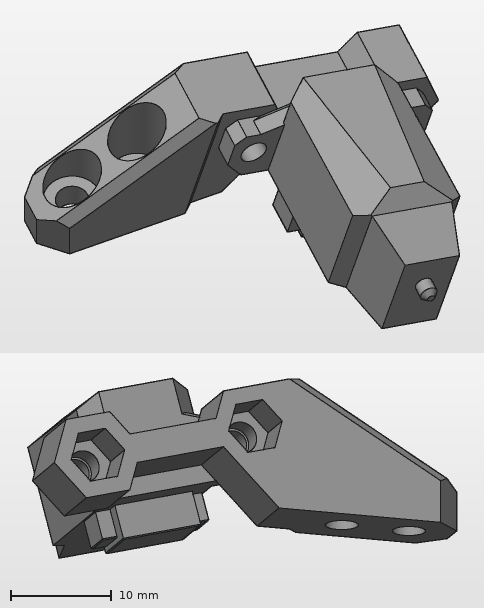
import cadquery as cq
import math

TILT = 15.0
SCREW_SPACING = 17.0
SCREW_SIDES = (-1, 1)

BRACKET_DEPTH = 7.0
BOSS_FLATS = 8.15
LINK_HEIGHT = 2.96
SCREW_CLEARANCE = 3.2
NUT_FLATS = 5.0
NUT_DEPTH = 4.5

ARM_WIDTH = 8.0
ARM_REACH = 30.03
ARM_BOTTOM = -6.03
ARM_TIP_HEIGHT = 4.0
ARM_SLOPE = 30.0
ARM_EDGE_CHAMFER = 1.0
ARM_TIP_CHAMFER = 2.5
ARM_RELIEF_START = 12.0
ARM_HOLE_SPACING = 7.0
ARM_HOLE_INSET = 4.5
ARM_HOLE_DIAMETER = 3.3
ARM_HEAD_DIAMETER = 5.8
ARM_HEAD_FLOOR = 3.0

SENSOR_BACK = BRACKET_DEPTH
FLARE_END = SENSOR_BACK + 2.0
CROWN_X = SENSOR_BACK + 16.3
SHOULDER_X = SENSOR_BACK + 17.3
NOSE_START = SENSOR_BACK + 18.3
NOSE_END = SENSOR_BACK + 24.1
PIN_END = 33.0

BACK_HALF = 4.0
BODY_HALF = 6.0
NOSE_START_HALF = 4.45
NOSE_END_HALF = 3.05
BODY_BOTTOM = -3.33
BACK_TOP = 7.66
CROWN_TOP = 8.98
NOSE_START_TOP = 7.55
NOSE_END_TOP = 6.34
ROOF_BACK_EAVE = 6.63
ROOF_NOSE_EAVE = 6.98
ROOF_PITCH = 27.2

FLANGE_THICKNESS = 2.3
FLANGE_HALF = 11.05
FLANGE_TOP = 2.67
FLANGE_TOP_CHAMFER = 1.05
FLANGE_BOTTOM_CHAMFER = 2.0
FLANGE_HOLE = 2.75

GUSSET_HALF = 8.42
GUSSET_PITCH = 20.5
GUSSET_LEAD_X = 0.46
GUSSET_LEAD_DROP = 0.4

CONNECTOR_X = 10.0
CONNECTOR_LENGTH = 5.65
CONNECTOR_HALF = 4.18
CONNECTOR_BOTTOM = -6.88
LATCH_X = 11.55
LATCH_LENGTH = 3.65
LATCH_HALF = 5.74
LATCH_BOTTOM = -6.25
CONNECTOR_CHAMFER = 0.12

PIN_DIAMETER = 1.8
PIN_HEIGHT = 2.7
PIN_TIP_LENGTH = 0.6
PIN_TIP_INSET = 0.5


def tilted(body):
    """Turn a body from the level frame into the tilted mounting frame."""
    return body.rotate((0, 0, 0), (1, 0, 0), -TILT)


def tilted_point(y, z):
    """Y and Z of a tilted-frame point after tilting."""
    angle = math.radians(TILT)
    return (
        y * math.cos(angle) + z * math.sin(angle),
        z * math.cos(angle) - y * math.sin(angle),
    )


def prism(outline, start, length):
    """A YZ outline extruded along +X."""
    return cq.Workplane("YZ", origin=(start, 0, 0)).polyline(outline).close().extrude(length)


def hex_corner_radius(flats):
    """Distance from the centre to a corner of a regular hexagon."""
    return flats / math.sqrt(3)


def hex_prism(y, flats, start, length):
    """Hexagonal prism along X with two flats level and its corners on the Y axis."""
    return (
        cq.Workplane("YZ", origin=(start, y, 0))
        .polygon(6, 2 * hex_corner_radius(flats))
        .extrude(length)
    )


def screw_holes(diameter, start, length):
    """Cylinders along X at both mounting screws."""
    half = SCREW_SPACING / 2
    return (
        cq.Workplane("YZ", origin=(start, 0, 0))
        .pushPoints([(side * half, 0) for side in SCREW_SIDES])
        .circle(diameter / 2)
        .extrude(length)
    )


def make_arm():
    """Sloping arm that grows out of the -Y boss and carries two counterbored holes."""
    boss_corner = hex_corner_radius(BOSS_FLATS)
    boss_y = -SCREW_SPACING / 2
    boss_inner = tilted_point(boss_y + boss_corner, 0)
    boss_top = tilted_point(boss_y + boss_corner / 2, BOSS_FLATS / 2)
    tip_top = (-ARM_REACH, ARM_BOTTOM + ARM_TIP_HEIGHT)

    heel = (boss_inner[0] - (boss_inner[1] - ARM_BOTTOM), ARM_BOTTOM)

    flat_slope = -math.tan(math.radians(TILT))
    face_slope = math.tan(math.radians(ARM_SLOPE))
    rise = tip_top[1] - boss_top[1] - flat_slope * (tip_top[0] - boss_top[0])
    apex_y = tip_top[0] + rise / (flat_slope - face_slope)
    apex = (apex_y, tip_top[1] + face_slope * (apex_y - tip_top[0]))

    outline = [boss_inner, boss_top, apex, tip_top, (-ARM_REACH, ARM_BOTTOM), heel]
    arm = prism(outline, 0, ARM_WIDTH)

    middle_x = ARM_WIDTH / 2
    face_middle = ((apex[0] + tip_top[0]) / 2, (apex[1] + tip_top[1]) / 2)
    for x in (0, ARM_WIDTH):
        edge = arm.edges(cq.selectors.NearestToPointSelector((x, *face_middle)))
        arm = edge.chamfer(ARM_EDGE_CHAMFER)

    tip_plan = [
        (0, 0),
        (ARM_WIDTH, 0),
        (ARM_WIDTH, -ARM_REACH + ARM_TIP_CHAMFER),
        (ARM_WIDTH - ARM_TIP_CHAMFER, -ARM_REACH),
        (ARM_TIP_CHAMFER, -ARM_REACH),
        (0, -ARM_REACH + ARM_TIP_CHAMFER),
    ]
    arm = arm.intersect(cq.Workplane("XY").polyline(tip_plan).close().extrude(ARM_REACH, both=True))

    relief_depth = ARM_WIDTH - BRACKET_DEPTH
    relief_plan = [
        (BRACKET_DEPTH, 0),
        (BRACKET_DEPTH, -ARM_RELIEF_START),
        (BRACKET_DEPTH + 2 * relief_depth, -ARM_RELIEF_START - 2 * relief_depth),
        (BRACKET_DEPTH + 2 * relief_depth, 0),
    ]
    arm = arm.cut(tilted(cq.Workplane("XY").polyline(relief_plan).close().extrude(ARM_REACH, both=True)))

    first_hole = -ARM_REACH + ARM_HOLE_INSET
    hole_points = [(middle_x, first_hole), (middle_x, first_hole + ARM_HOLE_SPACING)]
    base = cq.Workplane("XY", origin=(0, 0, ARM_BOTTOM)).pushPoints(hole_points)
    arm = arm.cut(base.circle(ARM_HOLE_DIAMETER / 2).extrude(ARM_REACH))
    floor = cq.Workplane("XY", origin=(0, 0, ARM_BOTTOM + ARM_HEAD_FLOOR)).pushPoints(hole_points)
    return arm.cut(floor.circle(ARM_HEAD_DIAMETER / 2).extrude(ARM_REACH))


def make_bracket():
    """Linked bosses and arm, with a nut pocket and screw hole through each boss."""
    link = cq.Workplane("XY").box(
        BRACKET_DEPTH, SCREW_SPACING, LINK_HEIGHT, centered=(False, True, True)
    )
    for side in SCREW_SIDES:
        link = link.union(hex_prism(side * SCREW_SPACING / 2, BOSS_FLATS, 0, BRACKET_DEPTH))

    bracket = tilted(link).union(make_arm())
    for side in SCREW_SIDES:
        bracket = bracket.cut(tilted(hex_prism(side * SCREW_SPACING / 2, NUT_FLATS, 0, NUT_DEPTH)))
    return bracket.cut(tilted(screw_holes(SCREW_CLEARANCE, 0, BRACKET_DEPTH)))


def make_shell():
    """Faceted sensor body: plan, side and roof envelopes intersected."""
    half_plan = [
        (SENSOR_BACK, BACK_HALF),
        (FLARE_END, BODY_HALF),
        (SHOULDER_X, BODY_HALF),
        (NOSE_START, NOSE_START_HALF),
        (NOSE_END, NOSE_END_HALF),
    ]
    plan = half_plan + [(x, -y) for x, y in reversed(half_plan)]
    side = [
        (SENSOR_BACK, BODY_BOTTOM),
        (SENSOR_BACK, BACK_TOP),
        (CROWN_X, CROWN_TOP),
        (NOSE_START, NOSE_START_TOP),
        (NOSE_END, NOSE_END_TOP),
        (NOSE_END, BODY_BOTTOM),
    ]
    shell = cq.Workplane("XY").polyline(plan).close().extrude(2 * CROWN_TOP, both=True)
    shell = shell.intersect(cq.Workplane("XZ").polyline(side).close().extrude(2 * BODY_HALF, both=True))

    ridge = BODY_HALF * math.tan(math.radians(ROOF_PITCH))

    def roof_section(eave):
        return [
            (-BODY_HALF, BODY_BOTTOM),
            (-BODY_HALF, eave),
            (0, eave + ridge),
            (BODY_HALF, eave),
            (BODY_HALF, BODY_BOTTOM),
        ]

    roof = (
        cq.Workplane("YZ", origin=(SENSOR_BACK, 0, 0))
        .polyline(roof_section(ROOF_BACK_EAVE))
        .close()
        .workplane(offset=NOSE_END - SENSOR_BACK)
        .polyline(roof_section(ROOF_NOSE_EAVE))
        .close()
        .loft(ruled=True)
    )
    return shell.intersect(roof)


def make_flange():
    """Mounting flange with chamfered ends."""
    half_outline = [
        (FLANGE_HALF - FLANGE_BOTTOM_CHAMFER, BODY_BOTTOM),
        (FLANGE_HALF, BODY_BOTTOM + FLANGE_BOTTOM_CHAMFER),
        (FLANGE_HALF, FLANGE_TOP - FLANGE_TOP_CHAMFER),
        (FLANGE_HALF - FLANGE_TOP_CHAMFER, FLANGE_TOP),
    ]
    outline = half_outline + [(-y, z) for y, z in reversed(half_outline)]
    return prism(outline, SENSOR_BACK, FLANGE_THICKNESS)


def make_gusset():
    """Low roof between flange and shell, with a sloped lead at its back edge."""
    height = (GUSSET_HALF - BACK_HALF) * math.tan(math.radians(GUSSET_PITCH))

    def section(drop):
        top = FLANGE_TOP + height - drop
        base = FLANGE_TOP - drop
        return [(-GUSSET_HALF, base), (-BACK_HALF, top), (BACK_HALF, top), (GUSSET_HALF, base)]

    lead = (
        cq.Workplane("YZ", origin=(SENSOR_BACK, 0, 0))
        .polyline(section(GUSSET_LEAD_DROP))
        .close()
        .workplane(offset=GUSSET_LEAD_X)
        .polyline(section(0))
        .close()
        .loft(ruled=True)
    )
    full = prism(section(0), SENSOR_BACK + GUSSET_LEAD_X, FLANGE_THICKNESS - GUSSET_LEAD_X)
    return lead.union(full)


def connector_block(start, length, half_width, bottom):
    """Block under the sensor with its lower edges broken."""
    block = cq.Workplane("XY").box(
        length, 2 * half_width, BODY_BOTTOM - bottom, centered=(False, True, False)
    )
    return block.faces("<Z").edges().chamfer(CONNECTOR_CHAMFER).translate((start, 0, bottom))


def make_pin():
    """Probe pin with a conical tip."""
    pin = cq.Workplane("YZ", origin=(NOSE_END, 0, PIN_HEIGHT)).circle(PIN_DIAMETER / 2)
    return pin.extrude(PIN_END - NOSE_END).faces(">X").chamfer(PIN_TIP_LENGTH, PIN_TIP_INSET)


def make_sensor():
    """Shell, flange, gusset, connector and pin as one tilted body."""
    sensor = make_shell().union(make_flange()).union(make_gusset())
    sensor = sensor.union(connector_block(CONNECTOR_X, CONNECTOR_LENGTH, CONNECTOR_HALF, CONNECTOR_BOTTOM))
    sensor = sensor.union(connector_block(LATCH_X, LATCH_LENGTH, LATCH_HALF, LATCH_BOTTOM))
    sensor = sensor.union(make_pin())
    sensor = sensor.cut(screw_holes(FLANGE_HOLE, SENSOR_BACK, FLANGE_THICKNESS))
    return tilted(sensor)


bracket = make_bracket()
sensor = make_sensor()

result = cq.Compound.makeCompound([bracket.val(), sensor.val()])